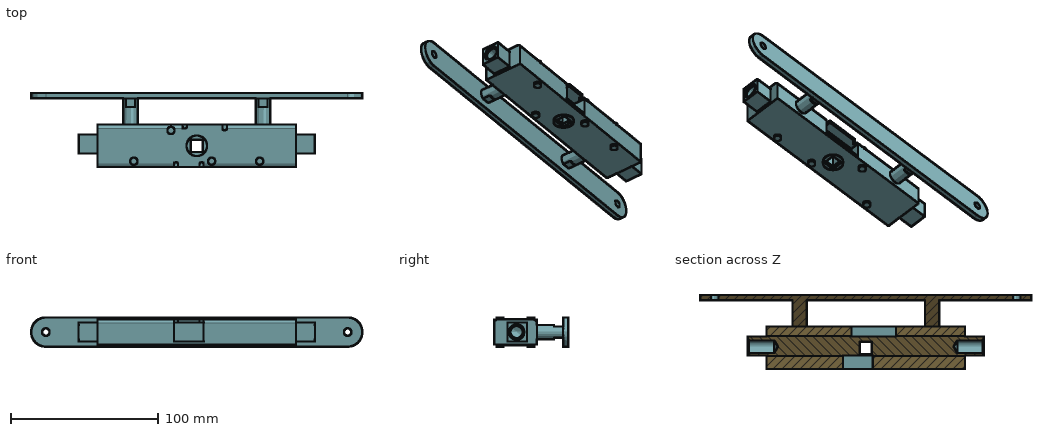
import cadquery as cq


housing_length = 135.0
housing_depth = 29.0
housing_height = 17.0
wall = 2.0
front_edge_radius = 2.2
rear_edge_radius = 2.7
housing_front = -housing_depth / 2
housing_rear = housing_depth / 2
housing_top = housing_height / 2

bar_length = 160.5
bar_size = housing_height - 2 * wall
bar_front_inset = 9.2
bar_front = housing_front + bar_front_inset
bar_rear = bar_front + bar_size
bar_y = (bar_front + bar_rear) / 2
core_diameter = 8.3
core_depth = 18.0
drill_tip_depth = 2.5
countersink_diameter = 10.4
hole_y_offset = -0.5
countersink_depth = (countersink_diameter - core_diameter) / 2

follower_diameter = 14.0
follower_height = 18.0
socket_size = 8.0

rivet_height = 20.0
rivet_diameter = 5.0
rivet_inset = 4.0
front_rivets_x = (-42.8, 10.1, 42.8)
rear_rivet_x = -17.5

front_window_x = -5.5
front_window_width = 20.0
front_slot_width = 2.7
front_slot_length = 3.4
rear_window_x = 5.5
rear_window_width = 30.2
rear_slot_width = 3.2
rear_left_slot_length = 2.7
rear_right_slot_length = 4.0

total_depth = 50.5
plate_length = 225.0
plate_width = 20.0
plate_thickness = 3.5
plate_rear = housing_front + total_depth
plate_front = plate_rear - plate_thickness
screw_hole_diameter = 5.0
screw_hole_spacing = plate_length - plate_width
post_diameter = 10.0
post_spacing = 90.0
post_length = plate_front - housing_rear
flat_distance = 7.9
flat_length = 6.0


def box(x_size, y_size, z_size, x=0.0, y=0.0, z=0.0):
    """Box centred on the given point."""
    return cq.Workplane("XY").box(x_size, y_size, z_size).translate((x, y, z))


def upright_cylinder(diameter, height, x=0.0, y=0.0):
    """Vertical cylinder centred on mid-height."""
    return cq.Workplane("XY").cylinder(height, diameter / 2).translate((x, y, 0))


def sharp_tongue(x, width, face_y, edge_radius):
    """Unrounded stretch of the top edge, filling the rounding above a window."""
    inward = 1 if face_y < 0 else -1
    return box(width, edge_radius, edge_radius, x,
               face_y + inward * edge_radius / 2, housing_top - edge_radius / 2)


def window(x, width, face_y, bar_face_y):
    """Opening below the top wall, from a housing face to the facing side of the bolt bar."""
    return box(width, abs(bar_face_y - face_y), bar_size, x, (face_y + bar_face_y) / 2)


def drive_socket():
    """Square hole through the follower and the bolt bar."""
    return box(socket_size, socket_size, follower_height)


def relief_slot(x, width, length, face_y):
    """Round-ended slot through the top wall, open at a housing face."""
    inward = 1 if face_y < 0 else -1
    straight = length - width / 2
    z = housing_top - wall / 2
    slot = box(width, straight, wall, x, face_y + inward * straight / 2, z)
    round_end = upright_cylinder(width, wall, x, face_y + inward * straight).translate((0, 0, z))
    return slot.union(round_end)


def bar_block():
    """Square block that forms the bar and the matching channel in the housing."""
    return box(bar_length, bar_size, bar_size, y=bar_y)


def make_bar():
    """Square bar with a countersunk blind hole in both ends."""
    bar = bar_block()
    end_x = bar_length / 2
    hole = (
        cq.Workplane("XY")
        .polyline([
            (-end_x, 0),
            (-end_x, countersink_diameter / 2),
            (-end_x + countersink_depth, core_diameter / 2),
            (-end_x + core_depth, core_diameter / 2),
            (-end_x + core_depth + drill_tip_depth, 0),
        ])
        .close()
        .revolve(360, (0, 0, 0), (1, 0, 0))
    )
    for blind_hole in (hole, hole.mirror("YZ")):
        bar = bar.cut(blind_hole.translate((0, bar_y + hole_y_offset, 0)))
    return bar.cut(drive_socket())


def make_housing():
    """Housing with follower, rivets, windows, relief slots and the channel for the bar."""
    housing = box(housing_length, housing_depth, housing_height)
    housing = housing.edges("|X and >Z and <Y").fillet(front_edge_radius)
    housing = housing.edges("|X and >Y and >Z").fillet(rear_edge_radius)
    housing = housing.union(sharp_tongue(front_window_x, front_window_width, housing_front,
                                         front_edge_radius))
    housing = housing.union(sharp_tongue(rear_window_x, rear_window_width, housing_rear,
                                         rear_edge_radius))
    housing = housing.union(upright_cylinder(follower_diameter, follower_height))
    for x in front_rivets_x:
        rivet = upright_cylinder(rivet_diameter, rivet_height, x, housing_front + rivet_inset)
        housing = housing.union(rivet)
    rear_rivet = upright_cylinder(rivet_diameter, rivet_height, rear_rivet_x, housing_rear - rivet_inset)
    housing = housing.union(rear_rivet)
    housing = housing.cut(window(front_window_x, front_window_width, housing_front, bar_front))
    housing = housing.cut(window(rear_window_x, rear_window_width, housing_rear, bar_rear))
    front_slot_offset = (front_window_width - front_slot_width) / 2
    rear_slot_offset = (rear_window_width - rear_slot_width) / 2
    for x in (front_window_x - front_slot_offset, front_window_x + front_slot_offset):
        housing = housing.cut(relief_slot(x, front_slot_width, front_slot_length, housing_front))
    housing = housing.cut(relief_slot(rear_window_x - rear_slot_offset, rear_slot_width,
                                      rear_left_slot_length, housing_rear))
    housing = housing.cut(relief_slot(rear_window_x + rear_slot_offset, rear_slot_width,
                                      rear_right_slot_length, housing_rear))
    housing = housing.cut(bar_block())
    return housing.cut(drive_socket())


def make_post(x):
    """Round post from the housing to the plate, with two flats at the plate end."""
    post = (
        cq.Workplane("XZ", origin=(x, plate_front, 0))
        .circle(post_diameter / 2)
        .extrude(post_length)
    )
    flat_cut = (post_diameter - flat_distance) / 2
    for side in (-1, 1):
        post = post.cut(box(post_diameter, flat_length, flat_cut, x, plate_front - flat_length / 2,
                            side * (flat_distance + flat_cut) / 2))
    return post


def make_faceplate():
    """Round-ended plate with two screw holes and the two posts on its front face."""
    faceplate = (
        cq.Workplane("XZ", origin=(0, plate_rear, 0))
        .slot2D(plate_length, plate_width)
        .pushPoints([(-screw_hole_spacing / 2, 0), (screw_hole_spacing / 2, 0)])
        .circle(screw_hole_diameter / 2)
        .extrude(plate_thickness)
    )
    for x in (-post_spacing / 2, post_spacing / 2):
        faceplate = faceplate.union(make_post(x))
    return faceplate


housing = make_housing()
bolt_bar = make_bar()
faceplate = make_faceplate()

result = cq.Compound.makeCompound([housing.val(), bolt_bar.val(), faceplate.val()])